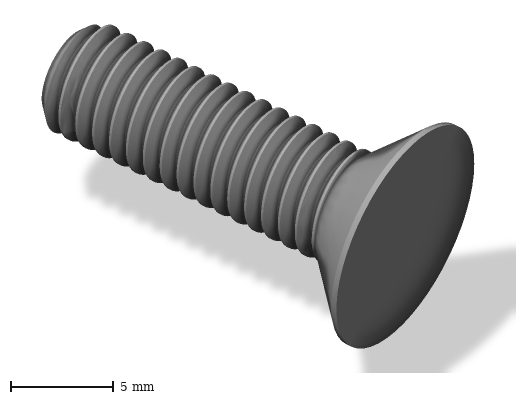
import cadquery as cq
import math

length = 20.0
head_radius = 12.0 / 2
rim_thickness = 0.3
major_radius = 6.0 / 2
core_radius = 4.7 / 2
tip_radius = 4.52 / 2

pitch = 1.0
crest_width = pitch / 8
flank_half_angle = math.radians(30)
thread_start = -0.95
thread_turns = 18.2
root_overlap = 0.05

core_bottom = -4.0
core_top = 18.4
head_inner_radius = 1.8


def revolve_about_z(outline):
    """Solid of revolution from (radius, height) points."""
    return cq.Workplane("XZ").polyline(outline).close().revolve(360, (0, 0, 0), (0, 1, 0))


def make_core():
    """Plain cylinder at the thread root diameter."""
    return cq.Workplane("XY", origin=(0, 0, core_bottom)).circle(core_radius).extrude(core_top - core_bottom)


def make_thread_ridge():
    """Right-handed 60 degree thread ridge with a narrow flat crest."""
    base_radius = core_radius - root_overlap
    half_crest = crest_width / 2
    half_base = half_crest + (major_radius - base_radius) * math.tan(flank_half_angle)
    helix = cq.Wire.makeHelix(pitch, thread_turns * pitch, core_radius)
    path = cq.Workplane(helix.moved(cq.Location(cq.Vector(0, 0, thread_start))))
    profile = [
        (base_radius, thread_start - half_base),
        (major_radius, thread_start - half_crest),
        (major_radius, thread_start + half_crest),
        (base_radius, thread_start + half_base),
    ]
    return cq.Workplane("XZ").polyline(profile).close().sweep(path, isFrenet=True)


def make_tip_envelope():
    """Solid that trims the tip flat with a 45 degree bevel and encloses the rest."""
    bevel_length = head_radius - tip_radius
    return revolve_about_z([
        (0, 0),
        (tip_radius, 0),
        (head_radius, bevel_length),
        (head_radius, length),
        (0, length),
    ])


def make_head():
    """Head with a 45 degree cone below a short cylindrical rim."""
    cone_end = length - rim_thickness
    cone_start = cone_end - (head_radius - head_inner_radius)
    return revolve_about_z([
        (0, cone_start),
        (head_inner_radius, cone_start),
        (head_radius, cone_end),
        (head_radius, length),
        (0, length),
    ])


shank = make_core().union(make_thread_ridge()).intersect(make_tip_envelope())
screw = shank.union(make_head())

result = screw.rotate((0, 0, 0), (1, 1, 1), 120)